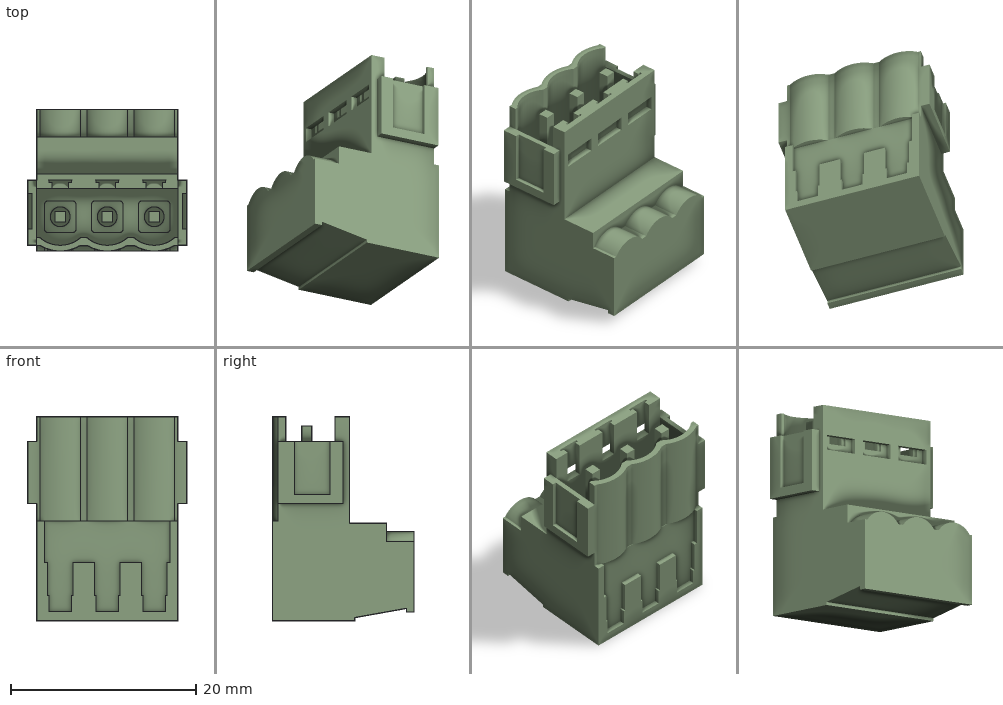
import cadquery as cq


poles = 3
block_width = 15.24
block_depth = 15.3
block_height = 22.05
pitch = block_width / poles
pole_centres = [(i - (poles - 1) / 2) * pitch for i in range(poles)]

tower_back = 8.33
shelf_height = 10.56
shelf_back = 12.35
rear_height = 8.55
lip_depth = 0.84
lip_height = 0.93
ramp_high = 1.32
ramp_low = 0.33
ramp_front = 8.9

bump_half_width = 2.2
rear_bump_rise = 1.1

socket_floor = 13.65
socket_back = 6.75
scallop_base = 10.8
wall_outer = 0.62
wall_inner = 1.45
inner_scallop_depth = 0.84

recess_depth = 0.55
recess_width = 13.58
recess_bottom = 6.3
leg_width = 2.73
leg_step = 2.73
leg_tip_width = 2.38
leg_bottom = 1.0

overall_width = 17.2
wing_thickness = (overall_width - block_width) / 2
wing_back = 7.65
wing_bottom = 12.65
wing_top = 19.38
wing_notch_depth = 0.45
wing_notch_front = 2.35
wing_notch_back = 6.22

slot_width = 1.75
slot_sill = 18.01
latch_width = 2.45
latch_front = 7.4
latch_back = wing_back
window_width = 3.97
window_bottom = 17.2
window_top = 18.8

pin_y = 3.7
pin_width = 1.1
pin_top = 21.05
pin_base_diameter = 2.14
insert_width = 3.45
insert_corner_radius = 0.45
insert_depth = insert_width


def box(x_centre, width, y_front, y_back, z_bottom, z_top):
    """Box centred on x_centre in X and spanning the given Y and Z limits."""
    size = (width, y_back - y_front, z_top - z_bottom)
    origin = (x_centre, y_front, z_bottom)
    return cq.Workplane("XY", origin=origin).box(*size, centered=(True, False, False))


def block_body():
    """Stepped side profile swept across the full width."""
    lip_front = block_depth - lip_depth
    profile = [
        (0, 0),
        (ramp_front, 0),
        (ramp_front, ramp_low),
        (lip_front, ramp_high),
        (lip_front, lip_height),
        (block_depth, lip_height),
        (block_depth, rear_height),
        (shelf_back, rear_height),
        (shelf_back, shelf_height),
        (tower_back, shelf_height),
        (tower_back, block_height),
        (0, block_height),
    ]
    return cq.Workplane("YZ").polyline(profile).close().extrude(block_width / 2, both=True)


def rear_bumps():
    """Rounded roofs, one per pole, on the rear step."""
    bumps = cq.Workplane("XZ", origin=(0, block_depth, 0))
    for x in pole_centres:
        bumps = (
            bumps.moveTo(x - bump_half_width, rear_height)
            .threePointArc((x, rear_height + rear_bump_rise), (x + bump_half_width, rear_height))
            .close()
        )
    return bumps.extrude(block_depth - shelf_back)


def scalloped_area(y_flat, scallop_depth, y_far, z_bottom):
    """Prism from a scalloped front edge, bulging forward at each pole, to a straight edge at y_far."""
    half_width = block_width / 2
    outline = cq.Workplane("XY", origin=(0, 0, z_bottom))
    outline = outline.moveTo(-half_width, y_far).lineTo(-half_width, y_flat)
    for x in pole_centres:
        outline = outline.lineTo(x - bump_half_width, y_flat).threePointArc(
            (x, y_flat - scallop_depth), (x + bump_half_width, y_flat)
        )
    outline = outline.lineTo(half_width, y_flat).lineTo(half_width, y_far).close()
    return outline.extrude(block_height - z_bottom)


def front_trim():
    """Material in front of the scalloped wall, which only touches the front face at its crests."""
    slab = box(0, block_width, 0, wall_inner, scallop_base, block_height)
    return slab.cut(scalloped_area(wall_outer, wall_outer, wall_inner, scallop_base))


def front_recess():
    """Shallow recess with one stepped leg per pole."""
    recess = box(0, recess_width, 0, recess_depth, recess_bottom, scallop_base)
    for x in pole_centres:
        recess = recess.union(box(x, leg_width, 0, recess_depth, leg_step, recess_bottom))
        recess = recess.union(box(x, leg_tip_width, 0, recess_depth, leg_bottom, leg_step))
    return recess


def wing(side):
    """End wall of the socket, with a notch in its outer face; side is -1 or 1."""
    wing_x = side * (block_width + wing_thickness) / 2
    notch_x = side * (overall_width - wing_notch_depth) / 2
    notch = box(notch_x, wing_notch_depth, wing_notch_front, wing_notch_back, socket_floor, wing_top)
    return box(wing_x, wing_thickness, wall_outer, wing_back, wing_bottom, wing_top).cut(notch)


def latch_slot(x):
    """T-shaped slot in the back wall, meeting a wider window in the rear face at its lower end."""
    mouth = box(x, slot_width, socket_back, latch_back, slot_sill, block_height)
    groove = box(x, latch_width, latch_front, latch_back, slot_sill, block_height)
    window = box(x, window_width, latch_back, tower_back, window_bottom, window_top)
    return mouth.union(groove).union(window)


def insert_block(x):
    """Rounded square block set flush into the socket floor."""
    half_width = insert_width / 2
    z_bottom = socket_floor - insert_depth
    block = box(x, insert_width, pin_y - half_width, pin_y + half_width, z_bottom, socket_floor)
    return block.edges("|Z").fillet(insert_corner_radius)


def contact_pin(x):
    """Square pin on a round base that passes through the insert."""
    base = (
        cq.Workplane("XY", origin=(x, pin_y, socket_floor - insert_depth))
        .circle(pin_base_diameter / 2)
        .extrude(insert_depth)
    )
    post = box(x, pin_width, pin_y - pin_width / 2, pin_y + pin_width / 2, socket_floor, pin_top)
    return base.union(post)


housing = block_body().union(rear_bumps())
housing = housing.cut(front_trim())
housing = housing.cut(scalloped_area(wall_inner, inner_scallop_depth, socket_back, socket_floor))
housing = housing.cut(front_recess())
for side in (-1, 1):
    housing = housing.union(wing(side))
for x in pole_centres:
    housing = housing.cut(latch_slot(x)).cut(insert_block(x))

pins = [contact_pin(x) for x in pole_centres]

inserts = [insert_block(x).cut(pin) for x, pin in zip(pole_centres, pins)]

result = cq.Compound.makeCompound([body.solids().val() for body in [housing, *pins, *inserts]])